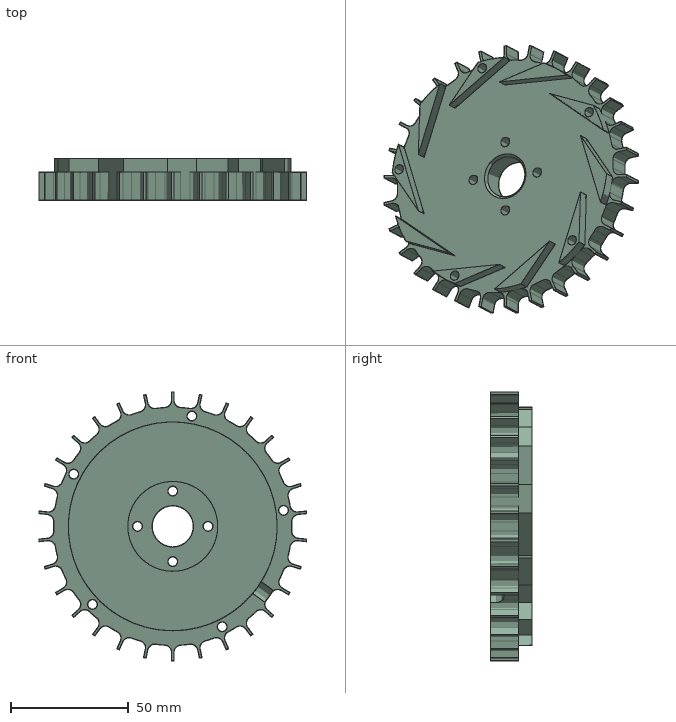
import cadquery as cq
import math

total_depth = 17.8
wheel_depth = 12.0

fin_count = 30
fin_tip_radius = 57.2
fin_thickness = 1.1
fin_root_fillet = 3.0
rim_radius = 50.6

recess_radius = 44.3
recess_depth = 6.0
hub_radius = 19.1
bore_radius = 8.7

bore_chamfer = 1.0

hole_radius = 2.0
hub_hole_count = 4
hub_hole_circle_radius = 15.0
rim_hole_count = 5
rim_hole_circle_radius = 47.5
rim_hole_start_angle = 8.2

groove_radius = 3.1
groove_depth = 5.8
groove_angle = -36
groove_start_radius = 40

blade_count = 10
blade_point_radius = 40
blade_land_start_angle = 78.5
blade_land_angle = 14.1
blade_sweep_angle = 24.5


def front_plane(depth=0):
    """Sketch plane facing -Y, with X right and Z up, at the given depth behind the front face."""
    return cq.Workplane("XZ", origin=(0, depth, 0))


def disc(radius, start_depth, end_depth):
    return front_plane(start_depth).circle(radius).extrude(start_depth - end_depth)


def polar_point(radius, angle):
    return (radius * math.cos(math.radians(angle)), radius * math.sin(math.radians(angle)))


def repeat_around_axis(solid, count):
    """Copies of a solid, evenly spaced around the wheel axis."""
    copies = cq.Workplane()
    for i in range(count):
        copies = copies.add(solid.rotate((0, 0, 0), (0, 1, 0), i * 360 / count))
    return copies


def fin():
    """Straight fin pointing along +Z, flared by a fillet on each side where it meets the rim."""
    half = fin_thickness / 2
    fillet_x = half + fin_root_fillet
    fillet_z = math.sqrt((rim_radius + fin_root_fillet) ** 2 - fillet_x**2)
    touch_scale = rim_radius / (rim_radius + fin_root_fillet)
    touch_x = fillet_x * touch_scale
    touch_z = fillet_z * touch_scale
    mid_angle = math.pi + math.atan2(fillet_z, fillet_x) / 2
    mid_x = fillet_x + fin_root_fillet * math.cos(mid_angle)
    mid_z = fillet_z + fin_root_fillet * math.sin(mid_angle)
    tip_z = math.sqrt(fin_tip_radius**2 - half**2)
    return (
        front_plane()
        .moveTo(0, recess_radius)
        .lineTo(touch_x, touch_z)
        .threePointArc((mid_x, mid_z), (half, fillet_z))
        .lineTo(half, tip_z)
        .threePointArc((0, fin_tip_radius), (-half, tip_z))
        .lineTo(-half, fillet_z)
        .threePointArc((-mid_x, mid_z), (-touch_x, touch_z))
        .close()
        .extrude(-wheel_depth)
    )


def blades():
    """Ring of wedges on the back face: a round outer land and two flat sides meeting at an inner point."""
    wedge = (
        front_plane(wheel_depth)
        .moveTo(*polar_point(rim_radius, blade_land_start_angle))
        .threePointArc(
            polar_point(rim_radius, blade_land_start_angle + blade_land_angle / 2),
            polar_point(rim_radius, blade_land_start_angle + blade_land_angle),
        )
        .lineTo(*polar_point(blade_point_radius, blade_land_start_angle - blade_sweep_angle))
        .close()
        .extrude(wheel_depth - total_depth)
    )
    return repeat_around_axis(wedge, blade_count)


def hole_pattern(circle_radius, start_angle, count):
    return (
        front_plane()
        .polarArray(circle_radius, start_angle, 360, count)
        .circle(hole_radius)
        .extrude(-total_depth)
    )


def rim_groove():
    """Radial groove with a round floor and straight sides, open at the front face."""
    length = fin_tip_radius - groove_start_radius
    floor_centre_depth = groove_depth - groove_radius
    return (
        cq.Workplane("YZ", origin=(groove_start_radius, 0, 0))
        .moveTo(0, groove_radius)
        .lineTo(floor_centre_depth, groove_radius)
        .threePointArc((groove_depth, 0), (floor_centre_depth, -groove_radius))
        .lineTo(0, -groove_radius)
        .close()
        .extrude(length)
        .rotate((0, 0, 0), (0, 1, 0), -groove_angle)
    )


recess = disc(recess_radius, 0, recess_depth).cut(disc(hub_radius, 0, recess_depth))
bore = disc(bore_radius, 0, wheel_depth)
bore_flare = front_plane(wheel_depth).circle(bore_radius + bore_chamfer).extrude(bore_chamfer, taper=45)

result = (
    disc(rim_radius, 0, wheel_depth)
    .union(repeat_around_axis(fin(), fin_count))
    .union(blades())
    .cut(recess)
    .cut(bore)
    .cut(bore_flare)
    .cut(hole_pattern(hub_hole_circle_radius, 0, hub_hole_count))
    .cut(hole_pattern(rim_hole_circle_radius, rim_hole_start_angle, rim_hole_count))
    .cut(rim_groove())
)